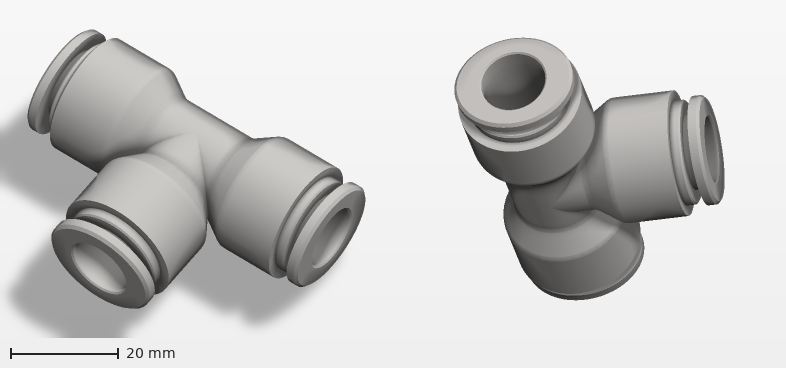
import cadquery as cq

PORT_ANGLES = (0, 180, -90)

ARM_LENGTH = 30.9
FLANGE_THICKNESS = 2.15
NECK_LENGTH = 1.8
COLLAR_HEIGHT = 1.9
flange_back = ARM_LENGTH - FLANGE_THICKNESS
collar_face = flange_back - NECK_LENGTH
housing_face = collar_face - COLLAR_HEIGHT
TAPER_OUTER_END = 13.1
TAPER_INNER_END = 8.0
socket_floor = TAPER_OUTER_END

HOUSING_DIAMETER = 23.5
CORE_DIAMETER = 16.95
COLLAR_DIAMETER = 19.6
NECK_DIAMETER = 14.2
BORE_DIAMETER = 12.2

FLANGE_LONG_AXIS = 22.5
FLANGE_SHORT_AXIS = COLLAR_DIAMETER

TAPER_BLEND_RADIUS = 2.0
FLANGE_CHAMFER = 0.55
COLLAR_CHAMFER = 0.3
MOUTH_CHAMFER = 0.3


def cylinder_along_x(diameter, start, end):
    """Solid cylinder on the X axis between two stations."""
    return cq.Workplane("YZ", origin=(start, 0, 0)).circle(diameter / 2).extrude(end - start)


def place_on_port(body, angle):
    """Turn a body modelled along +X onto the port at the given angle."""
    return body.rotate((0, 0, 0), (0, 0, 1), angle)


def make_housing_arm():
    """Core tube that flares through a blended cone to the port barrel."""
    arm = (
        cq.Workplane("XY")
        .polyline([
            (0, 0),
            (0, CORE_DIAMETER / 2),
            (TAPER_INNER_END, CORE_DIAMETER / 2),
            (TAPER_OUTER_END, HOUSING_DIAMETER / 2),
            (housing_face, HOUSING_DIAMETER / 2),
            (housing_face, 0),
        ])
        .close()
        .revolve(360, (0, 0, 0), (1, 0, 0))
    )
    return arm.faces("%CONE").edges("%CIRCLE").fillet(TAPER_BLEND_RADIUS)


def make_housing():
    """Tee body with a blind tube socket in each port."""
    housing = cq.Workplane("XY")
    for angle in PORT_ANGLES:
        housing = housing.union(place_on_port(make_housing_arm(), angle))
    socket = cylinder_along_x(BORE_DIAMETER, socket_floor, housing_face)
    for angle in PORT_ANGLES:
        housing = housing.cut(place_on_port(socket, angle))
    return housing


def make_collar():
    """Ring seated on the housing face, bored through for the tube."""
    collar = cylinder_along_x(COLLAR_DIAMETER, housing_face, collar_face)
    collar = collar.faces(">X").edges().chamfer(COLLAR_CHAMFER)
    return collar.cut(cylinder_along_x(BORE_DIAMETER, housing_face, collar_face))


def make_sleeve():
    """Release sleeve: round neck standing on the collar, with an oval push flange."""
    flange = (
        cq.Workplane("YZ", origin=(flange_back, 0, 0))
        .ellipse(FLANGE_LONG_AXIS / 2, FLANGE_SHORT_AXIS / 2)
        .extrude(ARM_LENGTH - flange_back)
        .faces(">X").edges().chamfer(FLANGE_CHAMFER)
    )
    sleeve = flange.union(cylinder_along_x(NECK_DIAMETER, collar_face, flange_back))
    sleeve = sleeve.cut(cylinder_along_x(BORE_DIAMETER, collar_face, ARM_LENGTH))
    return sleeve.faces(">X").edges("%CIRCLE").chamfer(MOUTH_CHAMFER)


housing = make_housing()
collars = [place_on_port(make_collar(), angle) for angle in PORT_ANGLES]
sleeves = [place_on_port(make_sleeve(), angle) for angle in PORT_ANGLES]

result = cq.Compound.makeCompound([
    housing.solids().val(),
    *[collar.val() for collar in collars],
    *[sleeve.val() for sleeve in sleeves],
])